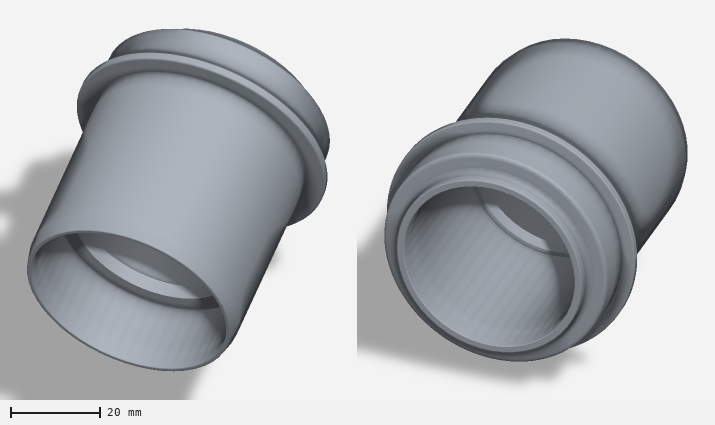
import cadquery as cq

length = 61.5

tube_radius = 50.3 / 2
lead_in_length = 2.8
lead_in_end = 4.2
lead_in_radius = 24.95
tip_radius = 24.3
rim_round = 0.25

flange_radius = 59.5 / 2
flange_front_root = 45.8
flange_front_edge = 46.0
flange_back_edge = 48.0
flange_back_root = 48.2
flange_edge_round = 0.4
flange_fillet = 0.35

collar_radius = 53.5 / 2
collar_back_edge = 57.75
collar_back_root = 58.0
collar_round = 0.85

nose_radius = 44.4 / 2
nose_fillet = 1.2
nose_round = 0.35

socket_radius = 46.6 / 2
socket_depth = 17.2
socket_fillet = 0.5
throat_radius = 38.6 / 2
throat_end = 20.7
back_bore_radius = 40.8 / 2
back_bore_mouth_radius = 41.2 / 2
back_bore_chamfer = back_bore_mouth_radius - back_bore_radius


def revolve_profile(profile):
    """Turn a closed (radius, y) profile about the Y axis."""
    return profile.close().revolve(360, (0, 0, 0), (0, 1, 0))


def round_circle(body, radius, y, size):
    """Fillet the circular edge of the given radius at the given y."""
    tolerance = 0.005
    low = (-radius - tolerance, y - tolerance, -radius - tolerance)
    high = (radius + tolerance, y + tolerance, radius + tolerance)
    edges = body.edges("%CIRCLE").edges(cq.selectors.BoxSelector(low, high, boundingbox=True))
    matching = [edge for edge in edges.vals() if abs(edge.radius() - radius) < tolerance]
    return body.newObject(matching).fillet(size)


def make_outside():
    """Solid of the outer contour, with its rounded edges."""
    profile = (
        cq.Workplane("XY")
        .moveTo(0, 0)
        .lineTo(tip_radius, 0)
        .lineTo(lead_in_radius, lead_in_length)
        .tangentArcPoint((tube_radius, lead_in_end), relative=False)
        .lineTo(tube_radius, flange_front_root)
        .lineTo(flange_radius, flange_front_edge)
        .lineTo(flange_radius, flange_back_edge)
        .lineTo(collar_radius, flange_back_root)
        .lineTo(collar_radius, collar_back_edge)
        .lineTo(nose_radius, collar_back_root)
        .lineTo(nose_radius, length)
        .lineTo(0, length)
    )
    body = revolve_profile(profile)
    rounds = (
        (tip_radius, 0, rim_round),
        (tube_radius, flange_front_root, flange_fillet),
        (flange_radius, flange_front_edge, flange_edge_round),
        (flange_radius, flange_back_edge, flange_edge_round),
        (collar_radius, collar_back_edge, collar_round),
        (nose_radius, collar_back_root, nose_fillet),
        (nose_radius, length, nose_round),
    )
    for radius, y, size in rounds:
        body = round_circle(body, radius, y, size)
    return body


def make_bore():
    """Solid that fills the socket, the throat and the back bore."""
    profile = (
        cq.Workplane("XY")
        .moveTo(0, 0)
        .lineTo(socket_radius, 0)
        .lineTo(socket_radius, socket_depth)
        .lineTo(throat_radius, socket_depth)
        .lineTo(throat_radius, throat_end)
        .lineTo(back_bore_radius, throat_end)
        .lineTo(back_bore_radius, length - back_bore_chamfer)
        .lineTo(back_bore_mouth_radius, length)
        .lineTo(0, length)
    )
    body = revolve_profile(profile)
    return round_circle(body, socket_radius, socket_depth, socket_fillet)


sleeve = make_outside().cut(make_bore())
result = round_circle(sleeve, socket_radius, 0, rim_round)